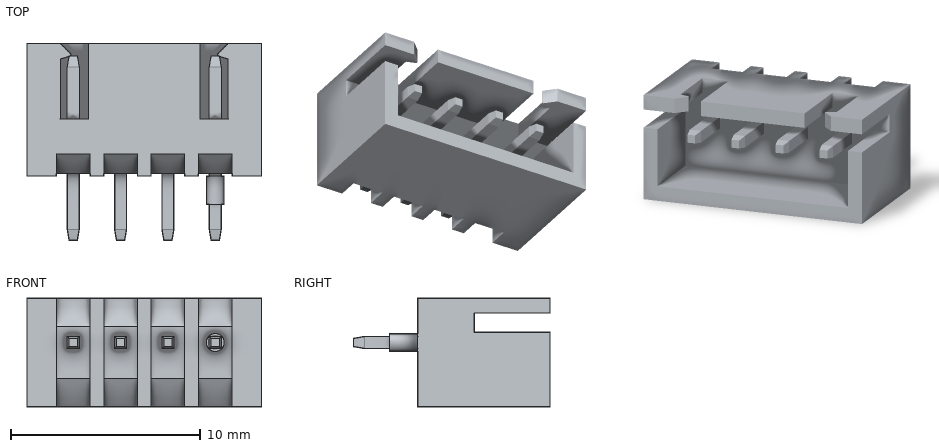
import cadquery as cq


pin_count = 4
pitch = 2.5
pin_size = 0.64
pin_tip_size = 0.44
pin_tip_length = 0.58
pin_mouth_setback = 0.67
tail_length = 3.4
pin_axis_height = 3.4

collar_diameter = 0.95
collar_length = 1.5

end_margin = 2.45
housing_width = (pin_count - 1) * pitch + 2 * end_margin
housing_depth = 7.0
housing_height = 5.75
wall = 0.8
cavity_depth = 4.0

side_slot_height = 1.0

window_width = 1.48
window_end_distance = 1.77
hook_reach = 0.56
hook_tip_length = 0.1
hook_tip_draft = 0.02
hook_length = 0.82

recess_width = 1.77
recess_land_depth = 0.12
recess_edge_depth = 1.17
recess_slope_height = 1.5

pin_positions = [(i - (pin_count - 1) / 2) * pitch for i in range(pin_count)]
cavity_floor = housing_depth - cavity_depth


def box(x_range, y_range, z_range):
    """Box between the given limits along each axis."""
    (x0, x1), (y0, y1), (z0, z1) = x_range, y_range, z_range
    return cq.Workplane("XY").box(x1 - x0, y1 - y0, z1 - z0, centered=False).translate((x0, y0, z0))


def make_cavity():
    """Mating cavity, open at the mouth."""
    half_width = housing_width / 2 - wall
    return box((-half_width, half_width), (cavity_floor, housing_depth), (wall, housing_height - wall))


def make_side_slots():
    """Slot that passes through both end walls and opens at the mouth."""
    slot_top = housing_height - wall
    half_width = housing_width / 2
    return box((-half_width, half_width), (cavity_floor, housing_depth), (slot_top - side_slot_height, slot_top))


def make_left_window():
    """Opening in the top wall near the -X end, with the hook left standing."""
    outer_x = -housing_width / 2 + window_end_distance
    inner_x = outer_x + window_width
    tip_x = outer_x + hook_reach
    lead_in_end = housing_depth - hook_reach
    outline = [
        (outer_x, cavity_floor),
        (inner_x, cavity_floor),
        (inner_x, housing_depth),
        (outer_x, housing_depth),
        (tip_x, lead_in_end),
        (tip_x - hook_tip_draft, lead_in_end - hook_tip_length),
        (outer_x, housing_depth - hook_length),
    ]
    return cq.Workplane("XY").workplane(offset=housing_height - wall).polyline(outline).close().extrude(wall)


def make_recess(x):
    """Rear recess around one pin: a shallow land between two slopes."""
    profile = [
        (0, 0),
        (recess_edge_depth, 0),
        (recess_land_depth, recess_slope_height),
        (recess_land_depth, housing_height - recess_slope_height),
        (recess_edge_depth, housing_height),
        (0, housing_height),
    ]
    recess = cq.Workplane("YZ").polyline(profile).close().extrude(recess_width / 2, both=True)
    return recess.translate((x, 0, 0))


def make_housing():
    half_width = housing_width / 2
    housing = box((-half_width, half_width), (0, housing_depth), (0, housing_height))
    left_window = make_left_window()
    housing = housing.cut(make_cavity()).cut(make_side_slots())
    housing = housing.cut(left_window).cut(left_window.mirror("YZ"))
    for x in pin_positions:
        housing = housing.cut(make_recess(x))
    return housing


def make_pin(x):
    """Square pin along Y with a tapered tip at each end."""
    front_shoulder = housing_depth - pin_mouth_setback - pin_tip_length
    rear_shoulder = -tail_length + pin_tip_length
    half_size = pin_size / 2
    z_range = (pin_axis_height - half_size, pin_axis_height + half_size)
    pin = box((x - half_size, x + half_size), (rear_shoulder, front_shoulder), z_range)
    for shoulder, direction in ((front_shoulder, 1), (rear_shoulder, -1)):
        base = cq.Plane(origin=(x, shoulder, pin_axis_height), xDir=(1, 0, 0), normal=(0, direction, 0))
        tip = (
            cq.Workplane(base)
            .rect(pin_size, pin_size)
            .workplane(offset=pin_tip_length)
            .rect(pin_tip_size, pin_tip_size)
            .loft(ruled=True)
        )
        pin = pin.union(tip)
    return pin


def make_collar(x):
    """Round collar on a tail, starting level with the housing rear face."""
    base = cq.Plane(origin=(x, 0, pin_axis_height), xDir=(1, 0, 0), normal=(0, -1, 0))
    return cq.Workplane(base).circle(collar_diameter / 2).extrude(collar_length)


result = make_housing()
for pin_x in pin_positions:
    result = result.union(make_pin(pin_x))
result = result.union(make_collar(pin_positions[-1]))